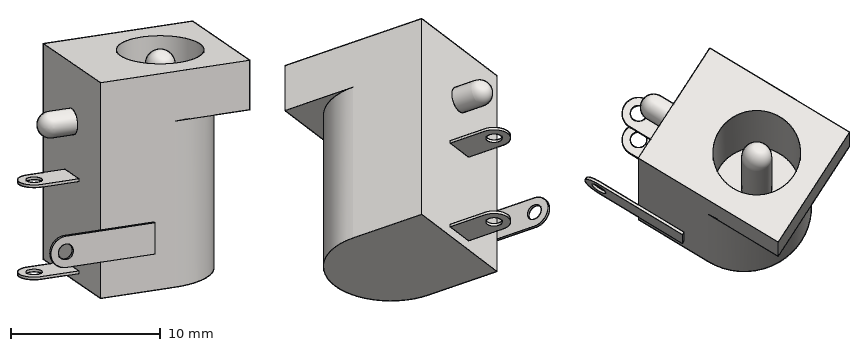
import cadquery as cq


housing_width = 9.0
housing_height = 15.2
front_y = -6.5
housing_depth = 11.0
head_height = 3.5
barrel_radius = housing_width / 2
barrel_axis_depth = 5.52
barrel_axis_y = front_y + barrel_axis_depth

bore_diameter = 5.85
bore_depth = 9.12
pin_diameter = 2.0

peg_diameter = 1.8
peg_length = 2.5
peg_drop = 4.1
peg_z = housing_height - peg_drop

terminal_width = 2.2
terminal_thickness = 0.2
terminal_reach = 3.89
terminal_hole_diameter = 1.1
front_terminal_heights = [0.8, 7.3]
side_terminal_length = 7.68
side_terminal_z = 3.85
side_terminal_gap = 0.3


def make_round_ended_rod(diameter, length):
    """Rod rising from Z = 0, with a hemispherical tip at Z = length."""
    radius = diameter / 2
    shank_length = length - radius
    return (
        cq.Workplane("XZ")
        .lineTo(radius, 0)
        .lineTo(radius, shank_length)
        .radiusArc((0, length), -radius)
        .close()
        .revolve(360, (0, 0, 0), (0, 1, 0))
    )


def make_housing():
    """Rectangular head over a round-backed body, with socket, pin and peg."""
    head = (
        cq.Workplane("XY", origin=(0, front_y + housing_depth / 2, housing_height - head_height))
        .rect(housing_width, housing_depth)
        .extrude(head_height)
    )
    body = (
        cq.Workplane("XY")
        .moveTo(-barrel_radius, front_y)
        .lineTo(barrel_radius, front_y)
        .lineTo(barrel_radius, barrel_axis_y)
        .threePointArc((0, barrel_axis_y + barrel_radius), (-barrel_radius, barrel_axis_y))
        .close()
        .extrude(housing_height - head_height)
    )
    bore_floor_z = housing_height - bore_depth
    bore = cq.Workplane("XY", origin=(0, 0, bore_floor_z)).circle(bore_diameter / 2).extrude(bore_depth)
    pin = make_round_ended_rod(pin_diameter, bore_depth).translate((0, 0, bore_floor_z))
    peg = (
        make_round_ended_rod(peg_diameter, peg_length)
        .rotate((0, 0, 0), (1, 0, 0), 90)
        .translate((0, front_y, peg_z))
    )
    return head.union(body).cut(bore).union(pin).union(peg)


def make_terminal(length):
    """Flat strip along -Y, centred on Z = 0, ending at the terminal reach with a round, drilled tip."""
    radius = terminal_width / 2
    tip_y = front_y - terminal_reach
    eye_y = tip_y + radius
    return (
        cq.Workplane("XY", origin=(0, 0, -terminal_thickness / 2))
        .moveTo(radius, tip_y + length)
        .lineTo(-radius, tip_y + length)
        .lineTo(-radius, eye_y)
        .threePointArc((0, tip_y), (radius, eye_y))
        .close()
        .moveTo(0, eye_y)
        .circle(terminal_hole_diameter / 2)
        .extrude(terminal_thickness)
    )


housing = make_housing()

front_terminals = [make_terminal(terminal_reach).translate((0, 0, z)) for z in front_terminal_heights]

side_terminal_x = housing_width / 2 + side_terminal_gap + terminal_thickness / 2
side_terminal = (
    make_terminal(side_terminal_length)
    .rotate((0, 0, 0), (0, 1, 0), 90)
    .translate((side_terminal_x, 0, side_terminal_z))
)

terminals = [*front_terminals, side_terminal]
result = cq.Compound.makeCompound([housing.val(), *[terminal.val() for terminal in terminals]])